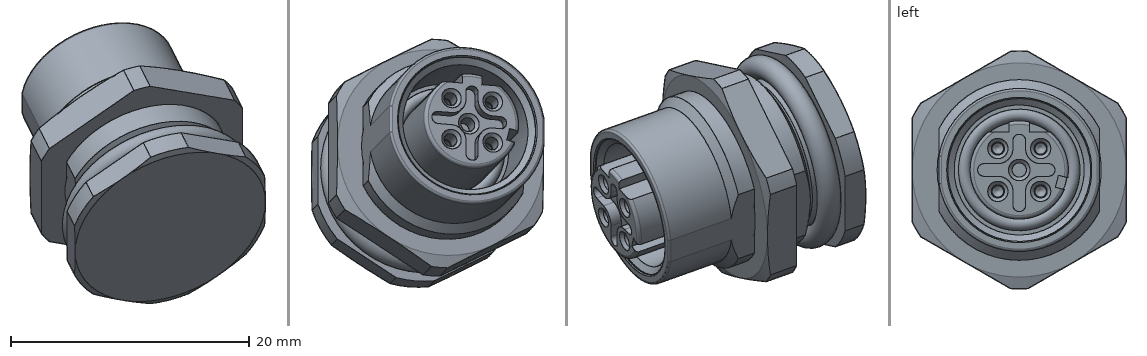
import cadquery as cq
import math


NOSE_FRONT = 1.45
NOSE_END = 7.5
THREAD_FRONT = 8.18
NUT_FRONT = 9.72
NUT_BACK = 12.53
THREAD_END = 14.63
FLANGE_FRONT = 17.5
FLANGE_BACK = 19.5

NOSE_DIAMETER = 13.7
NOSE_FILLET = 0.2
THREAD_DIAMETER = 15.17
BODY_ACROSS_FLATS = 13.5
THREAD_TAPER_LENGTH = 0.55
THREAD_TAPER_ANGLE = 60.0
NECK_DIAMETER = 13.0
NECK_TAPER_LENGTH = 0.25
SEAL_SECTION = 2.0
SEAL_OUTER_DIAMETER = 17.0
SEAL_CENTRE = 16.51
FLANGE_ACROSS_FLATS = 17.0
FLANGE_CORNER_DIAMETER = 18.0
FLANGE_CHAMFER_LENGTH = 0.18

MOUTH_DIAMETER = 12.0
MOUTH_CHAMFER = 0.1
MOUTH_DEPTH = 0.2
SOCKET_DIAMETER = 10.91
TAPER_END_DEPTH = 0.6
SOCKET_FLOOR = 8.0
FACE_SEAL_SECTION = 1.05
FACE_SEAL_INNER_DIAMETER = 8.1

INSERT_DIAMETER = 8.25
INSERT_FILLET = 0.3
KEY_WIDTH = 1.72
KEY_FLAT_HEIGHT = 3.2
NOTCH_WIDTH = 1.04
NOTCH_FLOOR_RADIUS = 3.3
NOTCH_ANGLE = 194.0
NOTCH_OFFSET = 0.15
CROSS_LONG_ARM = 3.5
CROSS_SHORT_ARM = 3.0
CROSS_WIDTH = 1.05
CROSS_DEPTH = 1.0

CONTACT_OFFSET = 1.8
CONTACT_MOUTH_DIAMETER = 1.7
CONTACT_ENTRY_DIAMETER = 1.1
CONTACT_ENTRY_DEPTH = 2.0
CONTACT_BORE_DIAMETER = 0.95
CONTACT_BORE_DEPTH = 4.0
CONTACT_TIP_ANGLE = 118.0
CENTRE_MOUTH_DIAMETER = 1.8
CENTRE_BORE_DIAMETER = 1.2
CENTRE_BORE_DEPTH = 2.0

NUT_ACROSS_FLATS = 18.0
NUT_CORNER_DIAMETER = 19.99
NUT_CHAMFER_LENGTH = 0.28
NUT_BORE_DIAMETER = 13.8


def turned(points):
    """Solid of revolution about X from (x, radius) points, closed along the axis."""
    first_x = points[0][0]
    last_x = points[-1][0]
    outline = [(first_x, 0), *points, (last_x, 0)]
    return cq.Workplane("XY").polyline(outline).close().revolve(360, (0, 0), (1, 0))


def cylinder(diameter, start, end):
    """Cylinder about X between two stations."""
    return cq.Workplane("YZ", origin=(start, 0, 0)).circle(diameter / 2).extrude(end - start)


def box(x_range, y_range, z_range):
    """Axis-aligned block given by its limits along X, Y and Z."""
    limits = (x_range, y_range, z_range)
    sizes = [high - low for low, high in limits]
    corner = tuple(low for low, high in limits)
    return cq.Workplane("XY").box(*sizes, centered=False).translate(corner)


def hexagon_prism(across_flats, start, end):
    """Hexagonal prism along X with two flats facing -Y and +Y."""
    across_corners = across_flats / math.cos(math.pi / 6)
    prism = cq.Workplane("YZ", origin=(start, 0, 0)).polygon(6, across_corners).extrude(end - start)
    return prism.rotate((0, 0, 0), (1, 0, 0), 90)


def ring(inner_diameter, section, centre_x):
    """Round-section ring about X."""
    major_radius = (inner_diameter + section) / 2
    profile = cq.Workplane("XY").center(centre_x, major_radius).circle(section / 2)
    return profile.revolve(360, (0, -major_radius), (1, -major_radius))


def make_shell():
    """Nose, threaded barrel and neck, with a pair of flats along the sides."""
    nose_radius = NOSE_DIAMETER / 2
    thread_radius = THREAD_DIAMETER / 2
    neck_radius = NECK_DIAMETER / 2
    taper_end = THREAD_END + THREAD_TAPER_LENGTH
    taper_radius = thread_radius - THREAD_TAPER_LENGTH * math.tan(math.radians(THREAD_TAPER_ANGLE))
    outside = turned(
        [
            (NOSE_FRONT, nose_radius),
            (NOSE_END, nose_radius),
            (THREAD_FRONT, thread_radius),
            (THREAD_END, thread_radius),
            (taper_end, taper_radius),
            (taper_end + NECK_TAPER_LENGTH, neck_radius),
            (FLANGE_FRONT, neck_radius),
        ]
    )
    half_flats = BODY_ACROSS_FLATS / 2
    between_flats = box(
        (NOSE_FRONT, FLANGE_FRONT), (-half_flats, half_flats), (-thread_radius, thread_radius)
    )
    return outside.intersect(between_flats).faces("<X").edges().fillet(NOSE_FILLET)


def make_flange():
    """Rounded hexagon behind the outer seal, chamfered at the back."""
    corner_radius = FLANGE_CORNER_DIAMETER / 2
    envelope = turned(
        [
            (FLANGE_FRONT, corner_radius),
            (FLANGE_BACK - FLANGE_CHAMFER_LENGTH, corner_radius),
            (FLANGE_BACK, FLANGE_ACROSS_FLATS / 2),
        ]
    )
    return hexagon_prism(FLANGE_ACROSS_FLATS, FLANGE_FRONT, FLANGE_BACK).intersect(envelope)


def make_socket():
    """Cavity in the nose: chamfered mouth, taper, then the bore down to the floor."""
    mouth_radius = MOUTH_DIAMETER / 2
    socket_radius = SOCKET_DIAMETER / 2
    return turned(
        [
            (NOSE_FRONT, mouth_radius + MOUTH_CHAMFER),
            (NOSE_FRONT + MOUTH_CHAMFER, mouth_radius),
            (NOSE_FRONT + MOUTH_DEPTH, mouth_radius),
            (NOSE_FRONT + TAPER_END_DEPTH, socket_radius),
            (SOCKET_FLOOR, socket_radius),
        ]
    )


def cut_key(insert):
    """Flatten the top of the insert on both sides of the key rib."""
    radius = INSERT_DIAMETER / 2
    for inner, outer in ((KEY_WIDTH / 2, radius), (-radius, -KEY_WIDTH / 2)):
        insert = insert.cut(box((0, SOCKET_FLOOR), (inner, outer), (KEY_FLAT_HEIGHT, radius)))
    return insert


def cut_notch(insert):
    """Square groove along the insert's side, tilted below the -Y direction."""
    low_side = NOTCH_OFFSET - NOTCH_WIDTH / 2
    groove = box(
        (0, SOCKET_FLOOR), (NOTCH_FLOOR_RADIUS, INSERT_DIAMETER), (low_side, low_side + NOTCH_WIDTH)
    )
    return insert.cut(groove.rotate((0, 0, 0), (1, 0, 0), NOTCH_ANGLE))


def make_cross():
    """Cross-shaped recess with round arm ends and rounded inner corners."""
    length = CROSS_LONG_ARM + CROSS_SHORT_ARM
    shift = (CROSS_LONG_ARM - CROSS_SHORT_ARM) / 2
    upright = cq.Workplane("YZ").center(0, -shift).slot2D(length, CROSS_WIDTH, 90).extrude(CROSS_DEPTH)
    level = cq.Workplane("YZ").center(shift, 0).slot2D(length, CROSS_WIDTH).extrude(CROSS_DEPTH)
    reach = CROSS_WIDTH
    inner_corners = cq.selectors.BoxSelector((0, -reach, -reach), (CROSS_DEPTH, reach, reach))
    corner_radius = CONTACT_OFFSET - CROSS_WIDTH / 2
    return upright.union(level).edges("|X").edges(inner_corners).fillet(corner_radius)


def make_contact_hole():
    """Countersunk entry, then a narrower bore with a drill point."""
    mouth_radius = CONTACT_MOUTH_DIAMETER / 2
    entry_radius = CONTACT_ENTRY_DIAMETER / 2
    bore_radius = CONTACT_BORE_DIAMETER / 2
    tip_length = bore_radius / math.tan(math.radians(CONTACT_TIP_ANGLE / 2))
    hole = (
        cq.Workplane("XY")
        .polyline(
            [
                (0, 0),
                (0, mouth_radius),
                (mouth_radius - entry_radius, entry_radius),
                (CONTACT_ENTRY_DEPTH, entry_radius),
                (CONTACT_ENTRY_DEPTH, bore_radius),
                (CONTACT_BORE_DEPTH, bore_radius),
                (CONTACT_BORE_DEPTH + tip_length, 0),
            ]
        )
        .close()
    )
    return hole.revolve(360, (0, 0), (1, 0))


def make_centre_hole():
    """Countersunk flat-bottomed hole in the floor of the cross recess."""
    mouth_radius = CENTRE_MOUTH_DIAMETER / 2
    bore_radius = CENTRE_BORE_DIAMETER / 2
    return turned(
        [
            (CROSS_DEPTH, mouth_radius),
            (CROSS_DEPTH + mouth_radius - bore_radius, bore_radius),
            (CROSS_DEPTH + CENTRE_BORE_DEPTH, bore_radius),
        ]
    )


def make_insert():
    """Contact carrier standing on the socket floor."""
    insert = cylinder(INSERT_DIAMETER, 0, SOCKET_FLOOR).faces("<X").edges().fillet(INSERT_FILLET)
    insert = cut_key(insert)
    insert = cut_notch(insert)
    insert = insert.cut(make_cross()).cut(make_centre_hole())
    contact_hole = make_contact_hole()
    for y in (-CONTACT_OFFSET, CONTACT_OFFSET):
        for z in (-CONTACT_OFFSET, CONTACT_OFFSET):
            insert = insert.cut(contact_hole.translate((0, y, z)))
    return insert


def make_nut_groove():
    """Sleeve of thread cut away where the nut sits, so its bore closes on the core."""
    sleeve = cylinder(NUT_CORNER_DIAMETER, NUT_FRONT, NUT_BACK)
    return sleeve.cut(cylinder(NUT_BORE_DIAMETER, NUT_FRONT, NUT_BACK))


def make_connector():
    """Shell, flange, contact insert and both seal rings as one body."""
    outer_seal = ring(SEAL_OUTER_DIAMETER - 2 * SEAL_SECTION, SEAL_SECTION, SEAL_CENTRE)
    seal_backing = cylinder(SEAL_OUTER_DIAMETER - SEAL_SECTION, SEAL_CENTRE, FLANGE_FRONT)
    outer_seal = outer_seal.union(seal_backing)
    face_seal = ring(FACE_SEAL_INNER_DIAMETER, FACE_SEAL_SECTION, SOCKET_FLOOR)
    shell = make_shell().cut(make_socket())
    connector = shell.union(make_flange()).union(outer_seal).union(make_insert()).union(face_seal)
    return connector.cut(make_nut_groove())


def make_nut():
    """Hexagonal nut with rounded corners, chamfered on its front side."""
    corner_radius = NUT_CORNER_DIAMETER / 2
    envelope = turned(
        [
            (NUT_FRONT, NUT_ACROSS_FLATS / 2),
            (NUT_FRONT + NUT_CHAMFER_LENGTH, corner_radius),
            (NUT_BACK, corner_radius),
        ]
    )
    nut = hexagon_prism(NUT_ACROSS_FLATS, NUT_FRONT, NUT_BACK).intersect(envelope)
    return nut.cut(cylinder(NUT_BORE_DIAMETER, NUT_FRONT, NUT_BACK))


connector = make_connector()
nut = make_nut()

result = cq.Compound.makeCompound([connector.solids().val(), nut.solids().val()])